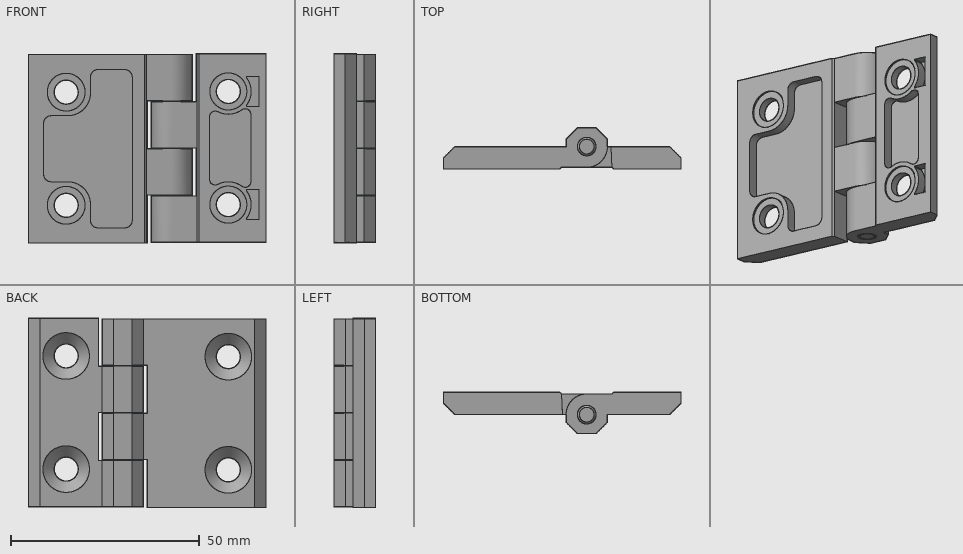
import cadquery as cq
import math


leaf_height = 50.0
leaf_thickness = 6.0
wide_leaf_reach = 38.0
narrow_leaf_reach = 25.0
edge_chamfer = 3.0
axial_gap = 0.2

inner_edge_back = 6.4
inner_edge_front = 6.7
knuckle_setback = 0.5

knuckle_radius = leaf_thickness - knuckle_setback
knuckle_back = 5.05
knuckle_pitch = leaf_height / 2
knuckle_length = knuckle_pitch / 2 - axial_gap
knuckle_starts = (-leaf_height / 2, knuckle_pitch - leaf_height / 2)

pin_diameter = 4.9
pin_chamfer = 0.5
narrow_bore_diameter = 5.0

hole_diameter = 6.3
hole_inset = 10.0
hole_height = leaf_height / 2 - hole_inset
counterbore_depth = 0.5
countersink_depth = 3.0
countersink_half_angle = 45
wide_counterbore_diameter = 10.0
narrow_counterbore_diameter = 9.8

pocket_depth = 3.0
pocket_rim = 4.05
wide_pocket_inner = 10.45
wide_pocket_corner = 2.0
wide_step_side = 6.4
wide_step_end = 6.25
wide_step_radius = 6.0
narrow_pocket_inner = 10.0
narrow_pocket_corner = 1.5
narrow_hole_clearance = 6.05
end_pocket_offset = 4.8
end_pocket_rim = 1.9
end_pocket_height = 8.0


def front_plane():
    return cq.Workplane("XZ", origin=(0, -leaf_thickness, 0))


def plate(reach):
    """Leaf plate, from the edge facing the pin to the chamfered outer edge."""
    return (
        cq.Workplane("XY", origin=(0, 0, -leaf_height / 2))
        .moveTo(inner_edge_back, 0)
        .lineTo(inner_edge_front, -knuckle_radius)
        .lineTo(inner_edge_front + knuckle_setback, -leaf_thickness)
        .lineTo(reach, -leaf_thickness)
        .lineTo(reach, -edge_chamfer)
        .lineTo(reach - edge_chamfer, 0)
        .close()
        .extrude(leaf_height)
    )


def knuckle(start):
    """Knuckle with a round front, a faceted back and a flat web joining it to the plate."""
    shoulder = knuckle_back - edge_chamfer
    half_flat = knuckle_radius - edge_chamfer
    arc_middle = -knuckle_radius * math.sqrt(0.5)
    return (
        cq.Workplane("XY", origin=(0, 0, start))
        .moveTo(inner_edge_front, -knuckle_radius)
        .lineTo(0, -knuckle_radius)
        .threePointArc((arc_middle, arc_middle), (-knuckle_radius, 0))
        .lineTo(-knuckle_radius, shoulder)
        .lineTo(-half_flat, knuckle_back)
        .lineTo(half_flat, knuckle_back)
        .lineTo(knuckle_radius, shoulder)
        .lineTo(knuckle_radius, 0)
        .lineTo(inner_edge_back, 0)
        .close()
        .extrude(knuckle_length)
    )


def leaf_blank(reach, bore_diameter, counterbore_diameter):
    """Leaf with its knuckles, pin bore and screw holes: counterbored in front, countersunk at the back."""
    body = plate(reach)
    for start in knuckle_starts:
        body = body.union(knuckle(start))
    bore = cq.Workplane("XY").circle(bore_diameter / 2).extrude(leaf_height, both=True)
    hole_x = reach - hole_inset
    hole_centres = [(hole_x, hole_height), (hole_x, -hole_height)]
    holes = front_plane().pushPoints(hole_centres)
    through = holes.circle(hole_diameter / 2).extrude(-leaf_thickness)
    counterbores = holes.circle(counterbore_diameter / 2).extrude(-counterbore_depth)
    back_radius = hole_diameter / 2 + countersink_depth * math.tan(math.radians(countersink_half_angle))
    countersinks = (
        cq.Workplane("XZ")
        .pushPoints(hole_centres)
        .circle(back_radius)
        .extrude(countersink_depth, taper=countersink_half_angle)
    )
    return body.cut(bore).cut(through).cut(counterbores).cut(countersinks)


def wide_pocket():
    """T-shaped pocket whose steps curve around the screw holes."""
    outer = wide_leaf_reach - pocket_rim
    end = leaf_height / 2 - pocket_rim
    hole_x = wide_leaf_reach - hole_inset
    step_x = hole_x - wide_step_side
    step_z = hole_height - wide_step_end
    round_x = step_x + wide_step_radius
    round_z = step_z + wide_step_radius
    pocket = (
        front_plane()
        .moveTo(wide_pocket_inner, -end)
        .lineTo(step_x, -end)
        .lineTo(step_x, -round_z)
        .tangentArcPoint((round_x, -step_z), relative=False)
        .lineTo(outer, -step_z)
        .lineTo(outer, step_z)
        .lineTo(round_x, step_z)
        .tangentArcPoint((step_x, round_z), relative=False)
        .lineTo(step_x, end)
        .lineTo(wide_pocket_inner, end)
        .close()
        .extrude(-pocket_depth)
    )
    return pocket.edges("|Y").edges(">Z or <Z or >X").fillet(wide_pocket_corner)


def narrow_pocket():
    """Pocket between the screw holes, its ends scooped around them and its corners rounded."""
    inner = narrow_pocket_inner
    outer = narrow_leaf_reach - pocket_rim
    hole_x = narrow_leaf_reach - hole_inset
    centre_distance = narrow_hole_clearance + narrow_pocket_corner
    inner_offset = inner + narrow_pocket_corner - hole_x
    outer_offset = outer - narrow_pocket_corner - hole_x
    inner_drop = math.sqrt(centre_distance**2 - inner_offset**2)
    outer_drop = math.sqrt(centre_distance**2 - outer_offset**2)
    scoop_share = narrow_hole_clearance / centre_distance
    scoop_inner_x = hole_x + scoop_share * inner_offset
    scoop_inner_z = hole_height - scoop_share * inner_drop
    scoop_outer_x = hole_x + scoop_share * outer_offset
    scoop_outer_z = hole_height - scoop_share * outer_drop
    inner_end = hole_height - inner_drop
    outer_end = hole_height - outer_drop
    return (
        front_plane()
        .moveTo(inner, -inner_end)
        .lineTo(inner, inner_end)
        .tangentArcPoint((scoop_inner_x, scoop_inner_z), relative=False)
        .tangentArcPoint((scoop_outer_x, scoop_outer_z), relative=False)
        .tangentArcPoint((outer, outer_end), relative=False)
        .lineTo(outer, -outer_end)
        .tangentArcPoint((scoop_outer_x, -scoop_outer_z), relative=False)
        .tangentArcPoint((scoop_inner_x, -scoop_inner_z), relative=False)
        .tangentArcPoint((inner, -inner_end), relative=False)
        .close()
        .extrude(-pocket_depth)
    )


def end_pocket(hole_z):
    """Small pocket between a narrow-leaf screw hole and the outer edge."""
    hole_x = narrow_leaf_reach - hole_inset
    inner = hole_x + end_pocket_offset
    width = narrow_leaf_reach - end_pocket_rim - inner
    block = (
        front_plane()
        .center(inner + width / 2, hole_z)
        .rect(width, end_pocket_height)
        .extrude(-pocket_depth)
    )
    boss = front_plane().center(hole_x, hole_z).circle(narrow_hole_clearance).extrude(-pocket_depth)
    return block.cut(boss)


def make_wide_leaf():
    leaf = leaf_blank(wide_leaf_reach, pin_diameter, wide_counterbore_diameter).cut(wide_pocket())
    return leaf.rotate((0, 0, 0), (0, 1, 0), 180).solids()


def make_narrow_leaf():
    leaf = leaf_blank(narrow_leaf_reach, narrow_bore_diameter, narrow_counterbore_diameter)
    leaf = leaf.cut(narrow_pocket())
    for hole_z in (hole_height, -hole_height):
        leaf = leaf.cut(end_pocket(hole_z))
    return leaf.translate((0, 0, axial_gap)).solids()


def make_pin():
    """Pin from the lower end of the lowest knuckle to the upper end of the highest one."""
    length = leaf_height - axial_gap
    lower_end = axial_gap - leaf_height / 2
    pin = cq.Workplane("XY", origin=(0, 0, lower_end)).circle(pin_diameter / 2).extrude(length)
    return pin.faces("<Z or >Z").chamfer(pin_chamfer).solids()


wide_leaf = make_wide_leaf()
narrow_leaf = make_narrow_leaf()
pin = make_pin()

result = cq.Compound.makeCompound([wide_leaf.val(), narrow_leaf.val(), pin.val()])